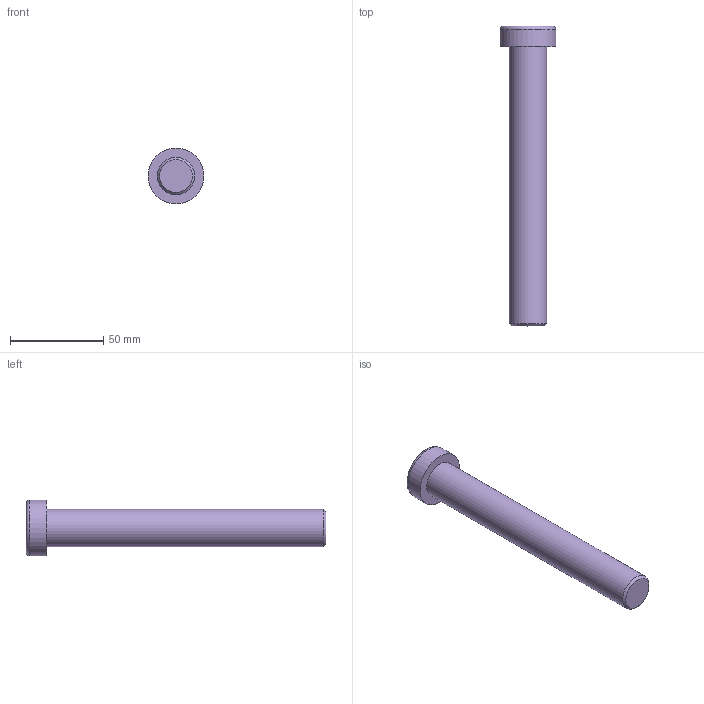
import cadquery as cq

head_diameter = 30.0
head_thickness = 11.0
head_edge_radius = 2.0

shank_diameter = 20.0
shank_length = 150.0
tip_chamfer = 1.25


def make_head():
    """Disc from Y = 0 toward +Y, rounded around its outer end face."""
    head = cq.Workplane("XZ").circle(head_diameter / 2).extrude(-head_thickness)
    return head.faces(">Y").edges().fillet(head_edge_radius)


def make_shank():
    """Plain cylinder running from the head toward -Y, chamfered at its tip."""
    shank = cq.Workplane("XZ").circle(shank_diameter / 2).extrude(shank_length)
    return shank.faces("<Y").edges().chamfer(tip_chamfer)


result = make_head().union(make_shank())